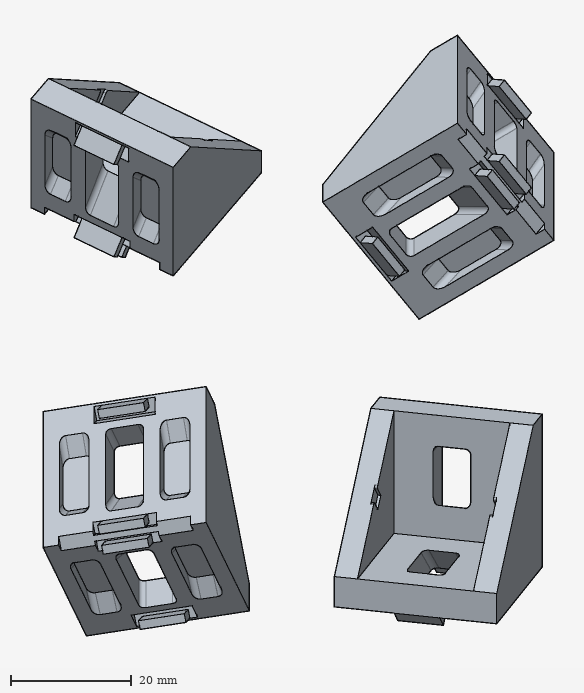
import cadquery as cq
import math

overall_size = 29.67
width = 28.0
tab_reach = 2.5
leg = overall_size - tab_reach
plate_thickness = 5.4
cavity_width = 20.0

corner_chamfer = 1.72
corner_chamfer_width = 22.65

slot_width = 6.47
slot_near = 5.22
slot_near_inside = 11.22
slot_far = 21.65
slot_fillet = 0.95

pocket_width = 5.1
pocket_offset = 8.65
pocket_depth = 2.37
pocket_near = 5.73
pocket_near_inside = 8.15
pocket_far_inside = 18.6
pocket_far = 21.65
pocket_fillet = 1.1

tab_width = 7.85
tab_root_drop = 1.07
outer_tab_place = 26.6
outer_groove_depth = 1.72
outer_groove_width = 10.47
inner_tab_place = 3.5
inner_groove_depth = 1.4
inner_groove_width = 10.92

notch_depth_in_wall = 0.5
notch_width = 2.55
notch_depth = 3.0
notch_lip_radius = 0.47


def prism(points, length, x_center=0):
    """Extrude a (y, z) outline along X, centred on x_center."""
    outline = cq.Workplane("YZ").polyline(points).close()
    return outline.extrude(length / 2, both=True).translate((x_center, 0, 0))


def on_bottom_plate(shape):
    """Swap Y and Z, carrying a feature of the upright plate to the bottom plate."""
    return shape.rotate((0, 0, 0), (0, 1, 1), 180)


def make_body():
    outline = [(0, 0), (leg, 0), (leg, plate_thickness), (plate_thickness, leg), (0, leg)]
    cavity_outline = [
        (plate_thickness, plate_thickness),
        (leg, plate_thickness),
        (leg, leg),
        (plate_thickness, leg),
    ]
    chamfer_outline = [(0, 0), (corner_chamfer, 0), (0, corner_chamfer)]
    body = prism(outline, width)
    body = body.cut(prism(cavity_outline, cavity_width))
    return body.cut(prism(chamfer_outline, corner_chamfer_width))


def make_opening(depth, near, near_inside, far_inside, far, opening_width, fillet, x_center):
    """Tapered opening in the upright plate with its four inward-running edges rounded."""
    outline = [(0, near), (depth, near_inside), (depth, far_inside), (0, far)]
    return prism(outline, opening_width, x_center).edges("not (|X or |Z)").fillet(fillet)


def make_plate_openings():
    openings = make_opening(
        plate_thickness, slot_near, slot_near_inside, slot_far, slot_far, slot_width, slot_fillet, 0
    )
    for x_center in (-pocket_offset, pocket_offset):
        pocket = make_opening(
            pocket_depth,
            pocket_near,
            pocket_near_inside,
            pocket_far_inside,
            pocket_far,
            pocket_width,
            pocket_fillet,
            x_center,
        )
        openings = openings.union(pocket)
    return openings


def make_groove(place, depth, groove_width):
    """V-groove with 45 degree sides whose far edge is at z = place."""
    return prism([(0, place), (depth, place - depth), (0, place - 2 * depth)], groove_width)


def make_tab(place):
    """Bar at 45 degrees, square to the far groove side on which its root rests."""
    root_far = (0, place)
    root_near = (tab_root_drop, place - tab_root_drop)
    tip_near = (tab_root_drop - tab_reach, place - tab_root_drop - tab_reach)
    tip_far = (-tab_reach, place - tab_reach)
    return prism([root_far, root_near, tip_near, tip_far], tab_width)


def make_clip_notches():
    """Notches square to the sloping wall edge, with rounded lips."""
    slope_middle = (leg + plate_thickness) / 2
    half_mouth = notch_width / 2 + notch_lip_radius
    arc_inset = notch_lip_radius * (1 - math.sqrt(0.5))
    slope_plane = cq.Plane(
        origin=(0, slope_middle, slope_middle), xDir=(0, 1, -1), normal=(1, 0, 0)
    )
    outline = (
        cq.Workplane(slope_plane)
        .moveTo(-half_mouth, 0)
        .threePointArc(
            (-notch_width / 2 - arc_inset, -arc_inset), (-notch_width / 2, -notch_lip_radius)
        )
        .lineTo(-notch_width / 2, -notch_depth)
        .lineTo(notch_width / 2, -notch_depth)
        .lineTo(notch_width / 2, -notch_lip_radius)
        .threePointArc((notch_width / 2 + arc_inset, -arc_inset), (half_mouth, 0))
        .close()
    )
    return outline.extrude(cavity_width / 2 + notch_depth_in_wall, both=True)


result = make_body()

upright_cuts = make_plate_openings()
upright_cuts = upright_cuts.union(make_groove(outer_tab_place, outer_groove_depth, outer_groove_width))
upright_cuts = upright_cuts.union(make_groove(inner_tab_place, inner_groove_depth, inner_groove_width))
result = result.cut(upright_cuts).cut(on_bottom_plate(upright_cuts))

for tab_place in (outer_tab_place, inner_tab_place):
    tab = make_tab(tab_place)
    result = result.union(tab).union(on_bottom_plate(tab))

result = result.cut(make_clip_notches())